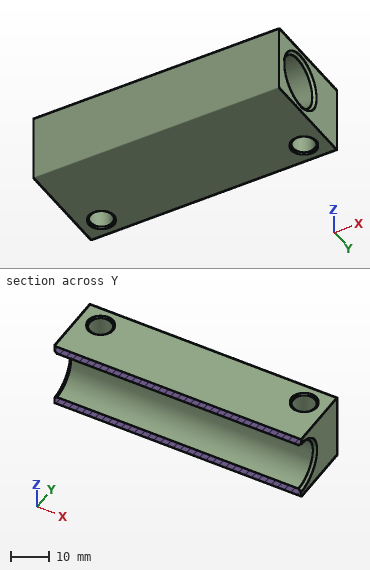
import cadquery as cq

length = 74.0
width = 30.0
height = 20.0
edge_radius = 0.3

bore_diameter = 15.0
bore_chamfer = 0.8
bore_from_front = 11.0
bore_y = bore_from_front - width / 2

hole_diameter = 6.6
hole_chamfer = 0.45
hole_from_end = 6.5
hole_from_back = 6.0
hole_x = length / 2 - hole_from_end
hole_y = width / 2 - hole_from_back


def chamfered_hole_cutter(plane, center, diameter, chamfer, depth):
    """Through-hole cutter with a 45 degree countersink at both ends.

    The hole is centred lengthwise on the plane.
    """
    radius = diameter / 2
    mouth_radius = radius + chamfer
    half_depth = depth / 2
    cutter = cq.Workplane(plane).center(*center).circle(radius).extrude(half_depth, both=True)
    for side in (1, -1):
        countersink = (
            cq.Workplane(plane)
            .workplane(offset=side * half_depth)
            .center(*center)
            .circle(mouth_radius)
            .workplane(offset=-side * chamfer)
            .circle(radius)
            .loft(ruled=True)
        )
        cutter = cutter.union(countersink)
    return cutter


block = cq.Workplane("XY").box(length, width, height).edges("|X").fillet(edge_radius)

result = block.cut(chamfered_hole_cutter("YZ", (bore_y, 0), bore_diameter, bore_chamfer, length))
for x in (-hole_x, hole_x):
    result = result.cut(chamfered_hole_cutter("XY", (x, hole_y), hole_diameter, hole_chamfer, height))